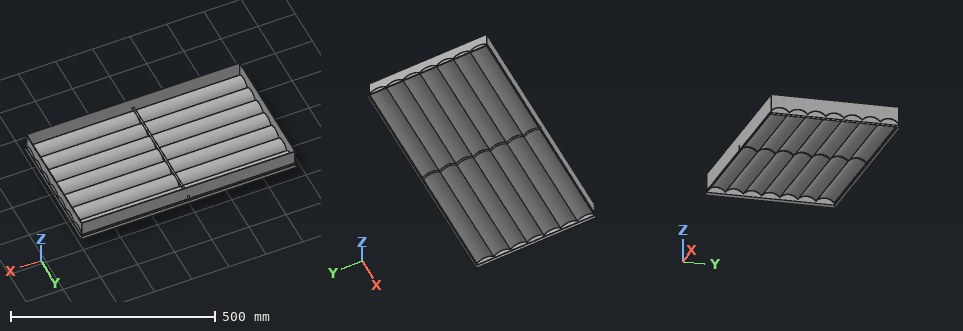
import cadquery as cq

length = 585.0
width = 335.0
height = 54.0

skirt_height = 6.0
skirt_flare = 4.0
wall = 2.0
frame_length = length - 2 * skirt_flare
frame_width = width - 2 * skirt_flare
inner_length = frame_length - 2 * wall
inner_width = frame_width - 2 * wall

arch_count = 7
arch_pitch = inner_width / arch_count
arch_rise = 10.5
crest_z = 22.0
floor_thickness = 1.0
valley_z = crest_z - arch_rise

bar_width = 5.0
bar_top_z = 23.0


def flared_block(inset):
    """Tapered block of the skirt, drawn in from its outer faces by inset."""
    return (
        cq.Workplane("XY")
        .rect(length - 2 * inset, width - 2 * inset)
        .workplane(offset=skirt_height)
        .rect(frame_length - 2 * inset, frame_width - 2 * inset)
        .loft(ruled=True)
    )


def make_frame():
    """Open rectangular frame standing on its flared skirt."""
    walls = (
        cq.Workplane("XY", origin=(0, 0, skirt_height))
        .rect(frame_length, frame_width)
        .rect(inner_length, inner_width)
        .extrude(height - skirt_height)
    )
    skirt = flared_block(0).cut(flared_block(wall))
    return walls.union(skirt)


def arched_block(base_z, drop):
    """Block under the row of arches, with the arched top lowered by drop."""
    low_z = valley_z - drop
    high_z = crest_z - drop
    left = -inner_width / 2
    profile = cq.Workplane("YZ", origin=(-inner_length / 2, 0, 0)).moveTo(left, base_z).lineTo(left, low_z)
    for index in range(arch_count):
        start = left + index * arch_pitch
        profile = profile.threePointArc((start + arch_pitch / 2, high_z), (start + arch_pitch, low_z))
    return profile.lineTo(-left, base_z).close().extrude(inner_length)


def make_floor():
    """Corrugated sheet of constant vertical thickness."""
    base_z = valley_z - skirt_height
    return arched_block(base_z, 0).cut(arched_block(base_z, floor_thickness))


def make_bar():
    """Cross bar filling the valleys between the arches up to its flat top."""
    bar_height = bar_top_z - valley_z
    bar = cq.Workplane("XY", origin=(0, 0, valley_z)).rect(bar_width, inner_width).extrude(bar_height)
    return bar.cut(arched_block(valley_z - skirt_height, 0))


result = make_frame().union(make_floor()).union(make_bar())